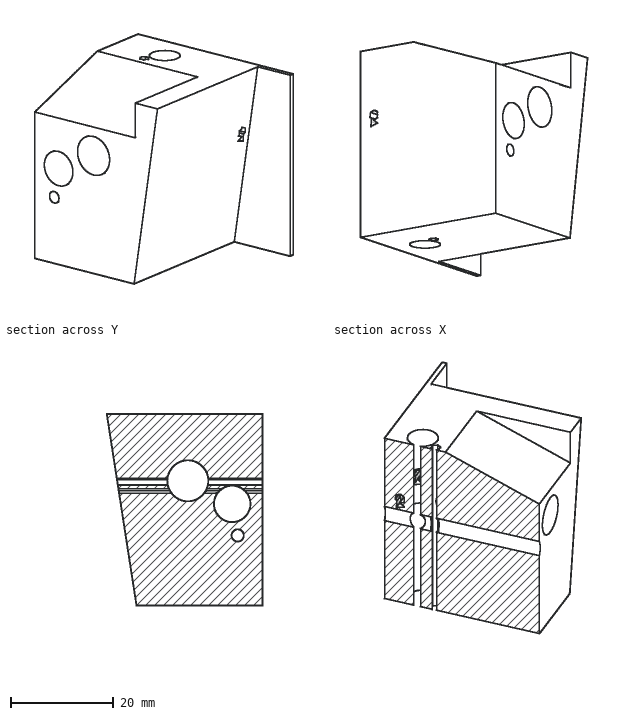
import cadquery as cq

length = 38.57
depth = 32.82
height = 37.53

block_bottom_length = 24.7
block_top_length = 30.5
plate_thickness = 1.0

slope_length = 24.95
slope_start = 12.95
slope_drop = 7.17

front_holes = [
    (5.95, 19.9, 7.1),
    (14.6, 24.4, 8.0),
    (4.85, 13.75, 2.35),
]
top_hole = (12.05, -6.9, 6.0)

faceted_hole_center = (9.85, -10.55)
faceted_hole_diameter = 1.93
faceted_hole_sides = 6

side_opening = [
    (-2.5, 24.85),
    (-3.35, 25.2),
    (-4.15, 24.65),
    (-4.13, 23.53),
    (-3.2, 23.2),
    (-4.15, 22.45),
    (-2.5, 22.0),
    (-2.7, 22.95),
    (-2.7, 23.6),
    (-2.3, 23.87),
]


def make_block():
    outline = [(0, 0), (block_bottom_length, 0), (block_top_length, height), (0, height)]
    return cq.Workplane("XZ").polyline(outline).close().extrude(depth)


def make_plate():
    return cq.Workplane("XY").box(length, plate_thickness, height, centered=False).translate(
        (0, -plate_thickness, 0)
    )


def make_slope_cut():
    triangle = [(-slope_start, height), (-depth, height), (-depth, height - slope_drop)]
    return cq.Workplane("YZ").polyline(triangle).close().extrude(slope_length)


def front_hole(x, z, diameter):
    return cq.Workplane("XZ").center(x, z).circle(diameter / 2).extrude(depth)


def make_top_holes():
    x, y, diameter = top_hole
    round_hole = cq.Workplane("XY").center(x, y).circle(diameter / 2).extrude(height)
    faceted_hole = (
        cq.Workplane("XY")
        .center(*faceted_hole_center)
        .polygon(faceted_hole_sides, faceted_hole_diameter)
        .extrude(height)
    )
    return round_hole.union(faceted_hole)


def make_side_opening():
    return cq.Workplane("YZ").polyline(side_opening).close().extrude(length)


result = make_block().union(make_plate()).cut(make_slope_cut())
for x, z, diameter in front_holes:
    result = result.cut(front_hole(x, z, diameter))
result = result.cut(make_top_holes()).cut(make_side_opening())